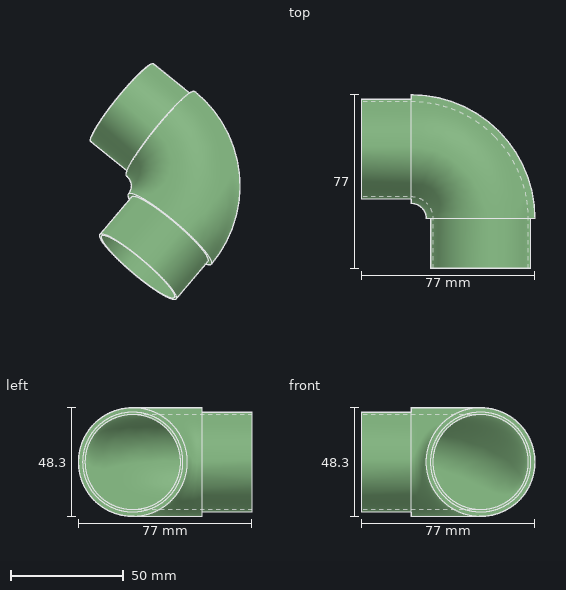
import cadquery as cq

overall = 77.0
elbow_diameter = 48.3
spigot_diameter = 44.35
bore_diameter = 42.2
spigot_length = 22.1

bend_outer_radius = overall - spigot_length
bend_radius = bend_outer_radius - elbow_diameter / 2


def quarter_bend(diameter):
    """Quarter torus from the -X facing end round to the -Y facing end."""
    return (
        cq.Workplane("YZ")
        .center(bend_radius, 0)
        .circle(diameter / 2)
        .revolve(90, (-bend_radius, 0, 0), (-bend_radius, -1, 0))
    )


def straight_ends(diameter):
    """Cylinders running outward from both ends of the bend."""
    along_x = cq.Workplane("YZ").center(bend_radius, 0).circle(diameter / 2).extrude(-spigot_length)
    along_y = cq.Workplane("XZ").center(bend_radius, 0).circle(diameter / 2).extrude(spigot_length)
    return along_x.union(along_y)


body = quarter_bend(elbow_diameter).union(straight_ends(spigot_diameter))
bore = quarter_bend(bore_diameter).union(straight_ends(bore_diameter))
result = body.cut(bore)